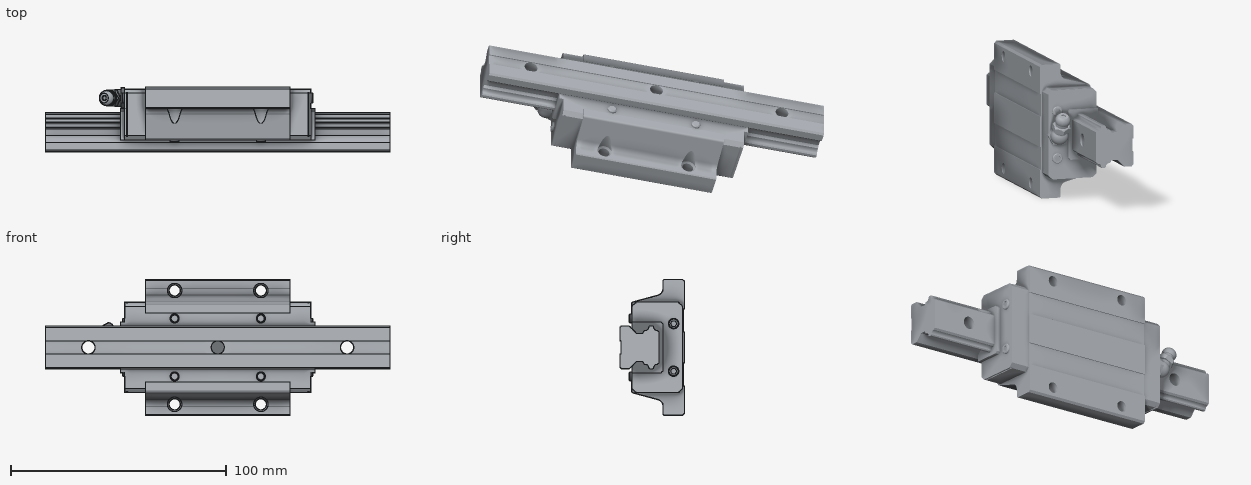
import cadquery as cq
import math


rail_length = 160.0
rail_height = 18.2
rail_width = 20.0
rail_half_width = rail_width / 2
rail_base_chamfer = 0.8
rail_foot_top = 4.3
rail_neck_bottom = 7.7
rail_neck_top = 10.5
rail_neck_half_width = 6.5
rail_head_half_width = 7.8
rail_head_bottom = 11.4
rail_top_half_width = 7.0
race_middle = 14.5
race_land = 1.3
race_tip_chamfer = 0.5
rail_groove_half_width = 3.0
rail_groove_depth = 0.5
rail_hole_radius = 3.0
rail_hole_pitch = 60.0

block_length = 67.0
overall_height = 30.0
block_bottom = 5.6
flange_half_width = 31.5
flange_bottom = 20.0
flange_top_chamfer = 1.0
flange_bottom_chamfer = 0.5
flank_half_width = 21.0
flank_angle = 15.0
flank_fillet = 3.2
foot_fillet = 1.1
channel_inner = 7.2
channel_outer = 18.0
channel_depth = 0.5
foot_strip_inner = 16.0
foot_strip_height = 0.2

bolt_pitch = 40.0
bolt_offset = 26.4
bolt_hole_radius = 2.5
bolt_clearance_radius = 3.4

caps_length = 86.4
cap_top = 29.1
cap_half_width = 21.0
cap_chamfer = 2.0
cap_groove_width = 0.6
cap_groove_depth = 0.3
cap_groove_from_end = 0.8
seal_length = 90.2
seal_top = 20.0
seal_half_width = 11.8
seal_chamfer = 1.0
fitting_height = 25.0
screw_offset = 11.0
screw_radius = 2.4
screw_head_height = 1.0
screw_chamfer = 0.3
socket_across_corners = 2.9
socket_depth = 0.6
pin_offset = 13.5
pin_radius = 2.0
pin_chamfer = 0.5
pin_length = 1.3

base_across_flats = 8.3
base_thickness = 1.6
elbow_radius = 4.0
elbow_reach = 3.5
nipple_tilt = 30.0
nut_start = 3.8
nut_end = 6.7
nut_across_flats = 7.5
nut_chamfer = 0.8
neck_radius = 3.0
head_start = 8.2
head_start_radius = 3.2
head_widest = 9.1
head_radius = 3.5
nipple_end = 12.0
tip_radius = 2.2
tip_hole_radius = 1.1
tip_hole_depth = 0.8


def extrude_along_x(half_outline, length):
    """Extrude an outline drawn in (z, y) for z >= 0, together with its mirror image, along X."""
    half = half_outline.close().extrude(length / 2, both=True)
    return half.union(half.mirror("XY"))


def section():
    """Cross-section plane: local x is Z, local y is Y."""
    return cq.Workplane(cq.Plane(origin=(0, 0, 0), xDir=(0, 0, 1), normal=(-1, 0, 0)))


def hole_along_y(x, z, radius, bottom, height):
    return cq.Workplane("XZ", origin=(x, bottom, z)).circle(radius).extrude(-height)


def rail_profile(length):
    race_start_half_width = rail_half_width - race_tip_chamfer
    race_radius = race_start_half_width - rail_head_half_width
    bend = race_radius * (1 - math.sqrt(0.5))
    land_bottom = race_middle - race_land / 2
    land_top = race_middle + race_land / 2
    lower_race_start = land_bottom - race_tip_chamfer
    upper_race_start = land_top + race_tip_chamfer
    outline = (
        section()
        .lineTo(rail_half_width - rail_base_chamfer, 0)
        .lineTo(rail_half_width, rail_base_chamfer)
        .lineTo(rail_half_width, rail_foot_top)
        .lineTo(rail_neck_half_width, rail_neck_bottom)
        .lineTo(rail_neck_half_width, rail_neck_top)
        .lineTo(rail_head_half_width, rail_head_bottom)
        .lineTo(rail_head_half_width, lower_race_start - race_radius)
        .threePointArc(
            (rail_head_half_width + bend, lower_race_start - bend),
            (race_start_half_width, lower_race_start),
        )
        .lineTo(rail_half_width, land_bottom)
        .lineTo(rail_half_width, land_top)
        .lineTo(race_start_half_width, upper_race_start)
        .threePointArc(
            (rail_head_half_width + bend, upper_race_start + bend),
            (rail_head_half_width, upper_race_start + race_radius),
        )
        .lineTo(rail_top_half_width, rail_height)
        .lineTo(0, rail_height)
    )
    return extrude_along_x(outline, length)


def make_rail():
    rail = rail_profile(rail_length)
    base_groove = cq.Workplane("XY").box(rail_length, 2 * rail_groove_depth, 2 * rail_groove_half_width)
    rail = rail.cut(base_groove)
    for x in (-rail_hole_pitch, 0, rail_hole_pitch):
        rail = rail.cut(hole_along_y(x, 0, rail_hole_radius, 0, rail_height))
    return rail


def flanged_block():
    foot_bottom = block_bottom - foot_strip_height
    flank_run = (flange_bottom - foot_bottom) * math.tan(math.radians(flank_angle))
    flank_top_half_width = flank_half_width + flank_run
    outline = (
        section()
        .moveTo(0, block_bottom)
        .lineTo(foot_strip_inner, block_bottom)
        .lineTo(foot_strip_inner, foot_bottom)
        .lineTo(flank_half_width, foot_bottom)
        .lineTo(flank_top_half_width, flange_bottom)
        .lineTo(flange_half_width - flange_bottom_chamfer, flange_bottom)
        .lineTo(flange_half_width, flange_bottom + flange_bottom_chamfer)
        .lineTo(flange_half_width, overall_height - flange_top_chamfer)
        .lineTo(flange_half_width - flange_top_chamfer, overall_height)
        .lineTo(channel_outer, overall_height)
        .lineTo(channel_outer, overall_height - channel_depth)
        .lineTo(channel_inner, overall_height - channel_depth)
        .lineTo(channel_inner, overall_height)
        .lineTo(0, overall_height)
    )
    block = extrude_along_x(outline, block_length)
    for side in (-1, 1):
        flank_top = (0, flange_bottom, side * flank_top_half_width)
        foot_corner = (0, foot_bottom, side * flank_half_width)
        block = block.edges(cq.selectors.NearestToPointSelector(flank_top)).fillet(flank_fillet)
        block = block.edges(cq.selectors.NearestToPointSelector(foot_corner)).fillet(foot_fillet)
    return block


def bolt_hole(x, z):
    """Through hole in the flange, its lower clearance cutting into the flank, with a countersink."""
    through = hole_along_y(x, z, bolt_hole_radius, block_bottom, overall_height)
    clearance = hole_along_y(x, z, bolt_clearance_radius, block_bottom, flange_bottom - block_bottom)
    countersink_depth = bolt_clearance_radius - bolt_hole_radius
    countersink = cq.Workplane(
        cq.Solid.makeCone(
            bolt_clearance_radius, bolt_hole_radius, countersink_depth,
            pnt=cq.Vector(x, flange_bottom, z), dir=cq.Vector(0, 1, 0),
        )
    )
    return through.union(clearance).union(countersink)


def end_caps():
    height = cap_top - block_bottom
    middle = (cap_top + block_bottom) / 2
    caps = (
        cq.Workplane("XY", origin=(0, middle, 0))
        .box(caps_length, height, 2 * cap_half_width)
        .edges("|X").chamfer(cap_chamfer)
    )
    groove_x = caps_length / 2 - cap_groove_from_end - cap_groove_width / 2
    for x in (-groove_x, groove_x):
        for z in (-cap_half_width, cap_half_width):
            groove = cq.Workplane("XY", origin=(x, middle, z)).box(
                cap_groove_width, height, 2 * cap_groove_depth
            )
            caps = caps.cut(groove)
    return caps


def end_seals():
    middle = (seal_top + block_bottom) / 2
    return (
        cq.Workplane("XY", origin=(0, middle, 0))
        .box(seal_length, seal_top - block_bottom, 2 * seal_half_width)
        .edges("|X and >Y").chamfer(seal_chamfer)
    )


def cap_screw(side, z):
    """Socket screw head on the end cap at the +X (side = 1) or -X (side = -1) end."""
    plane = cq.Plane(
        origin=(side * caps_length / 2, fitting_height, z), xDir=(0, 1, 0), normal=(side, 0, 0)
    )
    outer_face = ">X" if side > 0 else "<X"
    head = cq.Workplane(plane).circle(screw_radius).extrude(screw_head_height)
    head = head.faces(outer_face).chamfer(screw_chamfer)
    return head.faces(outer_face).workplane().polygon(6, socket_across_corners).cutBlind(-socket_depth)


def underside_pin(x, z):
    return (
        hole_along_y(x, z, pin_radius, block_bottom - pin_length, pin_length)
        .faces("<Y").chamfer(pin_chamfer)
    )


def make_carriage():
    carriage = flanged_block().union(end_caps()).union(end_seals())
    for x in (-bolt_pitch / 2, bolt_pitch / 2):
        for side in (-1, 1):
            carriage = carriage.cut(bolt_hole(x, side * bolt_offset))
            carriage = carriage.union(underside_pin(x, side * pin_offset))
    for side in (-1, 1):
        for z in (-screw_offset, screw_offset):
            carriage = carriage.union(cap_screw(side, z))
    return carriage.cut(rail_profile(rail_length))


def across_corners(across_flats):
    """Corner-to-corner size of a hexagon."""
    return across_flats / math.cos(math.pi / 6)


def make_grease_nipple():
    cap_end = -caps_length / 2
    elbow = cq.Vector(cap_end - elbow_reach, fitting_height, 0)

    base_plane = cq.Plane(origin=(cap_end, fitting_height, 0), xDir=(0, 1, 0), normal=(-1, 0, 0))
    nipple = cq.Workplane(base_plane).polygon(6, across_corners(base_across_flats)).extrude(base_thickness)
    bend = elbow_radius * math.sqrt(0.5)
    elbow_body = (
        cq.Workplane("XY", origin=elbow.toTuple())
        .moveTo(elbow_reach, 0)
        .lineTo(elbow_reach, elbow_radius)
        .lineTo(0, elbow_radius)
        .threePointArc((-bend, bend), (-elbow_radius, 0))
        .close()
        .revolve(360, (0, 0, 0), (1, 0, 0))
    )
    nipple = nipple.union(elbow_body)

    tilt = math.radians(nipple_tilt)
    axis = cq.Vector(-math.sin(tilt), 0, math.cos(tilt))
    across = cq.Vector(-math.cos(tilt), 0, -math.sin(tilt))
    nut_plane = cq.Plane(origin=(elbow + axis * nut_start).toTuple(), xDir=across, normal=axis)
    nut_corners = across_corners(nut_across_flats)
    nut = cq.Workplane(nut_plane).polygon(6, nut_corners).extrude(nut_end - nut_start)

    turned_plane = cq.Plane(origin=elbow.toTuple(), xDir=across, normal=across.cross(axis))
    nut_radius = nut_corners / 2
    nut_envelope = (
        cq.Workplane(turned_plane)
        .lineTo(nut_radius, 0)
        .lineTo(nut_radius, nut_end - nut_chamfer)
        .lineTo(nut_radius - nut_chamfer, nut_end)
        .lineTo(0, nut_end)
        .close()
        .revolve(360, (0, 0, 0), (0, 1, 0))
    )
    head = (
        cq.Workplane(turned_plane)
        .lineTo(neck_radius, 0)
        .lineTo(neck_radius, head_start)
        .lineTo(head_start_radius, head_start)
        .threePointArc((head_radius, head_widest), (tip_radius, nipple_end))
        .lineTo(tip_hole_radius, nipple_end)
        .lineTo(tip_hole_radius, nipple_end - tip_hole_depth)
        .lineTo(0, nipple_end - tip_hole_depth)
        .close()
        .revolve(360, (0, 0, 0), (0, 1, 0))
    )
    return nipple.union(nut.intersect(nut_envelope)).union(head)


rail = make_rail()
carriage = make_carriage()
grease_nipple = make_grease_nipple()

result = cq.Compound.makeCompound([rail.val(), carriage.val(), grease_nipple.val()])